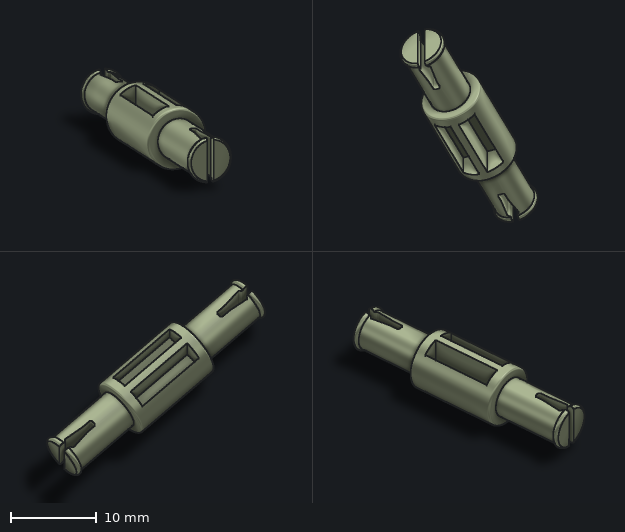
import cadquery as cq

length = 30.0
half_length = length / 2
shaft_radius = 5.0 / 2

collar_length = 11.7
collar_radius = 7.5 / 2
collar_fillet = 0.3

pocket_length = 9.0
rib_thickness = 1.0
pocket_inner = rib_thickness / 2
pocket_width = shaft_radius - pocket_inner

lip_width = 0.75
lip_radius = 2.75

slot_length = 5.0
slot_half_width = 0.42
slot_neck_length = 1.0
slot_step_length = 0.12
slot_wide_half_width = 0.72
slot_taper_end = 3.75
slot_end_fillet = 0.25
slot_step_fillet = 0.2
slot_taper_blend = 3.6


def make_shaft():
    """Shaft with a lip at each end, revolved about X."""
    lip_start = half_length - lip_width
    lip_middle = half_length - lip_width / 2
    return (
        cq.Workplane("XY")
        .moveTo(-half_length, 0)
        .lineTo(-half_length, shaft_radius)
        .threePointArc((-lip_middle, lip_radius), (-lip_start, shaft_radius))
        .lineTo(lip_start, shaft_radius)
        .threePointArc((lip_middle, lip_radius), (half_length, shaft_radius))
        .lineTo(half_length, 0)
        .close()
        .revolve(360, (0, 0, 0), (1, 0, 0))
    )


def make_collar():
    return (
        cq.Workplane("YZ")
        .circle(collar_radius)
        .extrude(collar_length / 2, both=True)
        .edges("%CIRCLE")
        .fillet(collar_fillet)
    )


def make_pocket(side_y, side_z):
    """Pocket beside the ribs, open at the top or bottom of the collar."""
    pocket_height = collar_radius - pocket_inner
    return cq.Workplane("XY").box(pocket_length, pocket_width, pocket_height).translate(
        (
            0,
            side_y * (pocket_inner + pocket_width / 2),
            side_z * (pocket_inner + pocket_height / 2),
        )
    )


def fillet_slot_edges(slot, x, radius):
    """Round the pair of upright slot edges at the given X."""
    margin = 0.03
    corners = cq.selectors.BoxSelector(
        (x - margin, -lip_radius, -lip_radius),
        (x + margin, lip_radius, lip_radius),
    )
    return slot.edges("|Z").edges(corners).fillet(radius)


def make_slot(side):
    """Slot cut vertically through the end on the given side of X."""
    wide_start = slot_neck_length + slot_step_length
    upper_edge = [
        (0, slot_half_width),
        (slot_neck_length, slot_half_width),
        (wide_start, slot_wide_half_width),
        (slot_taper_end, slot_half_width),
        (slot_length, slot_half_width),
    ]
    lower_edge = [(x, -y) for x, y in reversed(upper_edge)]
    outline = [(side * (half_length - x), y) for x, y in upper_edge + lower_edge]
    slot = cq.Workplane("XY").polyline(outline).close().extrude(lip_radius, both=True)

    corner_radii = [
        (slot_neck_length, slot_step_fillet),
        (wide_start, slot_step_fillet),
        (slot_taper_end, slot_taper_blend),
        (slot_length, slot_end_fillet),
    ]
    for distance, radius in corner_radii:
        slot = fillet_slot_edges(slot, side * (half_length - distance), radius)
    return slot


result = make_shaft().union(make_collar())
for side_y in (-1, 1):
    for side_z in (-1, 1):
        result = result.cut(make_pocket(side_y, side_z))
for side in (-1, 1):
    result = result.cut(make_slot(side))